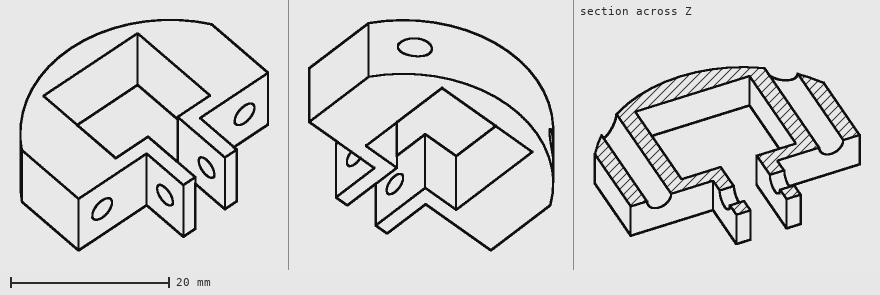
import cadquery as cq
import math

length = 26.62
width = 31.95
height = 10.0

body_length = 19.6
arc_radius = 19.0
half_width = width / 2
arc_depth = arc_radius - math.sqrt(arc_radius**2 - half_width**2)

wall = 2.0
window_start = 3.7
window_end = body_length - wall
window_width = 15.9
slit_width = 5.0

tab_span = slit_width + 2 * wall
tab_hole_diameter = 3.0
tab_hole_x = (body_length + length) / 2

mount_hole_diameter = 3.32
mount_hole_spacing = 24.0


def box_along_x(start, end, box_width):
    """Full-height box from X = start to X = end, centred on Y = 0."""
    return cq.Workplane("XY").box(
        end - start, box_width, height, centered=(False, True, False)
    ).translate((start, 0, 0))


body = (
    cq.Workplane("XY")
    .moveTo(arc_depth, -half_width)
    .lineTo(body_length, -half_width)
    .lineTo(body_length, half_width)
    .lineTo(arc_depth, half_width)
    .threePointArc((0, 0), (arc_depth, -half_width))
    .close()
    .extrude(height)
)

tabs = box_along_x(window_end, length, tab_span)
window = box_along_x(window_start, window_end, window_width)
slit = box_along_x(window_end, length, slit_width)

mount_holes = (
    cq.Workplane("YZ")
    .pushPoints([(side * mount_hole_spacing / 2, height / 2) for side in (-1, 1)])
    .circle(mount_hole_diameter / 2)
    .extrude(body_length)
)

tab_hole = (
    cq.Workplane("XZ")
    .center(tab_hole_x, height / 2)
    .circle(tab_hole_diameter / 2)
    .extrude(tab_span / 2, both=True)
)

result = body.union(tabs).cut(window).cut(slit).cut(mount_holes).cut(tab_hole)